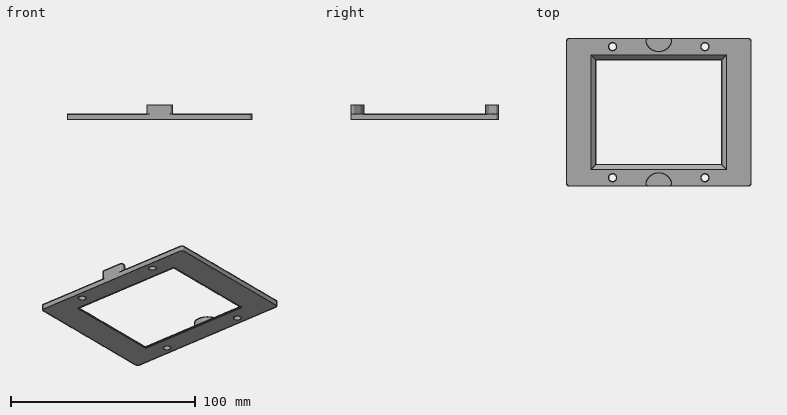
import cadquery as cq

length = 100.0
width = 80.0
thickness = 3.0
corner_radius = 1.5

window_length = 68.0
window_width = 56.6
lip_height = 0.4
bevel = thickness - lip_height

hole_diameter = 4.2
hole_spacing_x = 50.0
hole_spacing_y = 71.0

total_height = 8.0
tab_radius = 7.2
tab_corner_radius = 1.5


def make_plate():
    plate = cq.Workplane("XY").box(length, width, thickness, centered=(True, True, False))
    return plate.edges("|Z").fillet(corner_radius)


def make_window():
    lip_opening = cq.Workplane("XY").rect(window_length, window_width).extrude(thickness)
    bevel_opening = (
        cq.Workplane("XY", origin=(0, 0, lip_height))
        .rect(window_length, window_width)
        .workplane(offset=bevel)
        .rect(window_length + 2 * bevel, window_width + 2 * bevel)
        .loft(ruled=True)
    )
    return lip_opening.union(bevel_opening)


def make_tab():
    """Half-disc standing on the front edge, with its two corners rounded."""
    edge_y = -width / 2
    half_disc = (
        cq.Workplane("XY")
        .moveTo(-tab_radius, edge_y)
        .threePointArc((0, edge_y + tab_radius), (tab_radius, edge_y))
        .close()
        .extrude(total_height)
    )
    return half_disc.edges("|Z").fillet(tab_corner_radius)


def make_holes():
    return (
        cq.Workplane("XY")
        .rect(hole_spacing_x, hole_spacing_y, forConstruction=True)
        .vertices()
        .circle(hole_diameter / 2)
        .extrude(thickness)
    )


front_tab = make_tab()
back_tab = front_tab.mirror("XZ")
result = make_plate().cut(make_window()).cut(make_holes()).union(front_tab).union(back_tab)